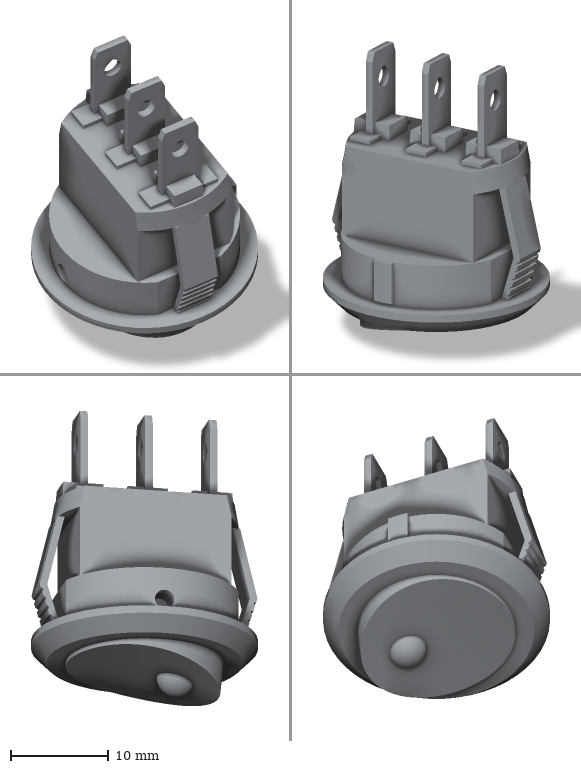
import cadquery as cq
import math


FLANGE_DIAMETER = 23.4
FLANGE_RIM = 0.8
FLANGE_THICKNESS = 2.4
FLANGE_BEVEL = FLANGE_THICKNESS - FLANGE_RIM

COLLAR_RADIUS = 9.85
COLLAR_FLAT = 9.1
COLLAR_HEIGHT = 4.77
KEY_WIDTH = 2.13
KEY_RADIUS = 10.42
KEY_BOTTOM = 0.35
HOLE_RADIUS = 1.0
HOLE_HEIGHT = 1.35
HOLE_DEPTH = 2.95

CASE_LENGTH = 15.98
CASE_WIDTH = 11.1
CASE_TOP = 14.55
CAP_HEIGHT = 2.3
CAP_BOTTOM = CASE_TOP - CAP_HEIGHT
CAP_TOP_RADIUS = 9.32
CAP_BOTTOM_RADIUS = math.hypot(CASE_LENGTH / 2, CASE_WIDTH / 2)

CLIP_WIDTH = 4.0
CLIP_THICKNESS = 0.8
CLIP_TOP_X = 9.65
CLIP_KNEE_X = 11.48
CLIP_FOOT_X = 10.0
CLIP_KNEE_Z = COLLAR_HEIGHT
GROOVE_RADIUS = 0.2
GROOVE_COUNT = 5
GROOVE_PITCH = 0.95
LOWEST_GROOVE = 0.35

TERMINAL_XS = [-6.8, 0.0, 6.8]
BLADE_THICKNESS = 0.8
BLADE_WIDTH = 4.38
BLADE_TOP = 23.92
TIP_CHAMFER_Y = 0.38
TIP_CHAMFER_Z = 0.98
EYE_HEIGHT = 20.7
EYE_RADIUS = 1.0
EYE_TIP_RADIUS = 0.38
EYE_TIP_OFFSET = math.sqrt(2) * (EYE_RADIUS - EYE_TIP_RADIUS)
PAD_LENGTH = 8.05
PAD_WIDTH = 2.43
PAD_HEIGHT = 0.47
BLOCK_LENGTH = 4.38
BLOCK_WIDTH = 3.52
BLOCK_HEIGHT = 1.6
BLOCK_DRAFT_ANGLE = 3.2

ROCKER_TOP = -FLANGE_THICKNESS
ROCKER_RADIUS = 8.17
ROCKER_HIGH_Z = -2.85
ROCKER_MIDDLE_Z = -3.4
ROCKER_LOW_Z = -5.68
ROCKER_TIP_RADIUS = 7.8
LENS_RADIUS = 2.0
LENS_X = 3.32
LENS_Z = -3.67


def make_flange():
    rim = cq.Workplane("XY").circle(FLANGE_DIAMETER / 2).extrude(-FLANGE_THICKNESS)
    return rim.faces("<Z").chamfer(FLANGE_BEVEL)


def make_collar():
    collar = cq.Workplane("XY").circle(COLLAR_RADIUS).extrude(COLLAR_HEIGHT)
    between_flats = cq.Workplane("XY").rect(2 * COLLAR_FLAT, 2 * COLLAR_RADIUS).extrude(COLLAR_HEIGHT)
    key_height = COLLAR_HEIGHT - KEY_BOTTOM
    key_base = cq.Workplane("XY", origin=(0, 0, KEY_BOTTOM))
    key_strip = key_base.rect(KEY_WIDTH, KEY_RADIUS, centered=(True, False)).extrude(key_height)
    key = key_base.circle(KEY_RADIUS).extrude(key_height).intersect(key_strip)
    hole = (
        cq.Workplane("XZ", origin=(0, -COLLAR_RADIUS, HOLE_HEIGHT))
        .circle(HOLE_RADIUS)
        .extrude(-HOLE_DEPTH)
    )
    return collar.intersect(between_flats).union(key).cut(hole)


def make_case():
    case = cq.Workplane("XY").rect(CASE_LENGTH, CASE_WIDTH).extrude(CAP_BOTTOM)
    cone = (
        cq.Workplane("XY", origin=(0, 0, CAP_BOTTOM))
        .circle(CAP_BOTTOM_RADIUS)
        .workplane(offset=CAP_HEIGHT)
        .circle(CAP_TOP_RADIUS)
        .loft()
    )
    slab = cq.Workplane("XY").rect(2 * CAP_BOTTOM_RADIUS, CASE_WIDTH).extrude(CASE_TOP)
    return case.union(cone.intersect(slab))


def make_clip():
    """Bent strip on the +X side, grooved across the outside of its lower leg."""
    clip = (
        cq.Workplane("XZ")
        .moveTo(CLIP_TOP_X, CAP_BOTTOM)
        .lineTo(CLIP_KNEE_X, CLIP_KNEE_Z)
        .lineTo(CLIP_FOOT_X, 0)
        .lineTo(CLIP_FOOT_X - CLIP_THICKNESS, 0)
        .lineTo(CLIP_KNEE_X - CLIP_THICKNESS, CLIP_KNEE_Z)
        .lineTo(CLIP_TOP_X - CLIP_THICKNESS, CAP_BOTTOM)
        .close()
        .extrude(CLIP_WIDTH / 2, both=True)
    )
    lean = (CLIP_KNEE_X - CLIP_FOOT_X) / CLIP_KNEE_Z
    heights = [LOWEST_GROOVE + i * GROOVE_PITCH for i in range(GROOVE_COUNT)]
    grooves = (
        cq.Workplane("XZ")
        .pushPoints([(CLIP_FOOT_X + lean * z, z) for z in heights])
        .circle(GROOVE_RADIUS)
        .extrude(CLIP_WIDTH / 2, both=True)
    )
    return clip.cut(grooves)


def make_terminal(x):
    """Flat blade with a chamfered tip and a teardrop eye."""
    half_width = BLADE_WIDTH / 2
    blade = (
        cq.Workplane("YZ")
        .moveTo(-half_width, CASE_TOP)
        .lineTo(half_width, CASE_TOP)
        .lineTo(half_width, BLADE_TOP - TIP_CHAMFER_Z)
        .lineTo(half_width - TIP_CHAMFER_Y, BLADE_TOP)
        .lineTo(TIP_CHAMFER_Y - half_width, BLADE_TOP)
        .lineTo(-half_width, BLADE_TOP - TIP_CHAMFER_Z)
        .close()
        .extrude(BLADE_THICKNESS / 2, both=True)
    )
    slant = math.sqrt(0.5)
    tip_z = EYE_HEIGHT + EYE_TIP_OFFSET
    eye = (
        cq.Workplane("YZ")
        .moveTo(slant * EYE_RADIUS, EYE_HEIGHT + slant * EYE_RADIUS)
        .threePointArc((0, EYE_HEIGHT - EYE_RADIUS), (-slant * EYE_RADIUS, EYE_HEIGHT + slant * EYE_RADIUS))
        .lineTo(-slant * EYE_TIP_RADIUS, tip_z + slant * EYE_TIP_RADIUS)
        .threePointArc((0, tip_z + EYE_TIP_RADIUS), (slant * EYE_TIP_RADIUS, tip_z + slant * EYE_TIP_RADIUS))
        .close()
        .extrude(BLADE_THICKNESS / 2, both=True)
    )
    return blade.cut(eye).translate((x, 0, 0))


def make_terminal_base(x):
    """Thin pad crossed by a drafted block; the blade passes through both."""
    base = cq.Workplane("XY", origin=(x, 0, CASE_TOP))
    pad = base.rect(PAD_WIDTH, PAD_LENGTH).extrude(PAD_HEIGHT)
    block = base.rect(BLOCK_LENGTH, BLOCK_WIDTH).extrude(BLOCK_HEIGHT, taper=BLOCK_DRAFT_ANGLE)
    return pad.union(block)


def make_housing(terminals):
    housing = make_flange().union(make_collar()).union(make_case())
    clip = make_clip()
    housing = housing.union(clip).union(clip.mirror("YZ"))
    for x in TERMINAL_XS:
        housing = housing.union(make_terminal_base(x))
    for terminal in terminals:
        housing = housing.cut(terminal)
    return housing


def make_rocker():
    """Tapered round button with a concave sloping face and a ball-shaped lens."""
    button = (
        cq.Workplane("XY", origin=(0, 0, ROCKER_TOP))
        .circle(ROCKER_RADIUS)
        .workplane(offset=ROCKER_LOW_Z - ROCKER_TOP)
        .circle(ROCKER_TIP_RADIUS)
        .loft()
    )
    side_profile = (
        cq.Workplane("XZ")
        .moveTo(-ROCKER_RADIUS, ROCKER_TOP)
        .lineTo(-ROCKER_RADIUS, ROCKER_HIGH_Z)
        .threePointArc((0, ROCKER_MIDDLE_Z), (ROCKER_TIP_RADIUS, ROCKER_LOW_Z))
        .lineTo(ROCKER_RADIUS, ROCKER_LOW_Z)
        .lineTo(ROCKER_RADIUS, ROCKER_TOP)
        .close()
        .extrude(ROCKER_RADIUS, both=True)
    )
    below_flange = (
        cq.Workplane("XY", origin=(0, 0, ROCKER_TOP))
        .circle(ROCKER_RADIUS)
        .extrude(ROCKER_LOW_Z - ROCKER_TOP)
    )
    lens = cq.Workplane("XY", origin=(LENS_X, 0, LENS_Z)).sphere(LENS_RADIUS).intersect(below_flange)
    return button.intersect(side_profile).union(lens)


terminals = [make_terminal(x) for x in TERMINAL_XS]
housing = make_housing(terminals)
rocker = make_rocker()

result = cq.Compound.makeCompound(
    [housing.val(), rocker.val(), *[terminal.val() for terminal in terminals]]
)